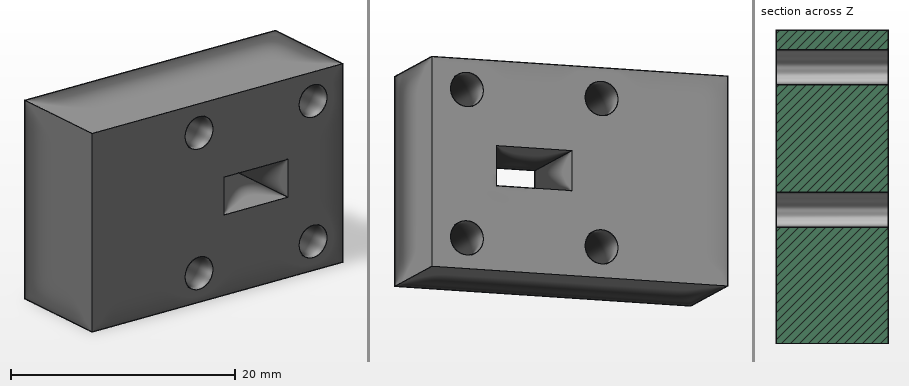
import cadquery as cq

thickness = 10.0
length = 27.95
height = 19.05

pattern_inset = 9.67
hole_pitch_y = 12.7
hole_pitch_z = 13.47
hole_diameter = 3.1

window_width = 7.1
window_height = 3.63

pattern_y = length / 2 - pattern_inset


def make_block():
    return cq.Workplane("XY").box(thickness, length, height)


def make_screw_holes():
    """Four cylinders along X that pass through the thickness."""
    return (
        cq.Workplane("YZ", origin=(-thickness / 2, pattern_y, 0))
        .rarray(hole_pitch_y, hole_pitch_z, 2, 2)
        .circle(hole_diameter / 2)
        .extrude(thickness)
    )


def make_window():
    """Rectangular bar along X that passes through the thickness."""
    return (
        cq.Workplane("XY")
        .box(thickness, window_width, window_height)
        .translate((0, pattern_y, 0))
    )


result = make_block().cut(make_screw_holes()).cut(make_window())